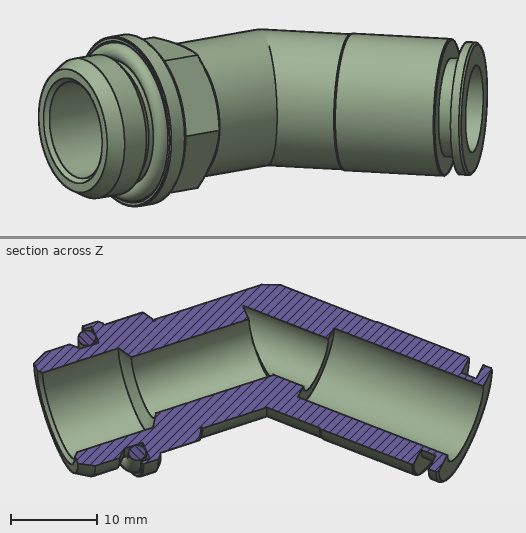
import cadquery as cq
import math

BEND_ANGLE = 45.0
BEND_Y = 26.45

THREAD_RADIUS = 16.5 / 2
NECK_RADIUS = 14.5 / 2
LEAD_IN_LENGTH = 1.8
THREAD_END_Y = 4.8
NECK_START_Y = 5.8

FLANGE_RADIUS = 20.0 / 2
FLANGE_START_Y = 7.0
FLANGE_END_Y = 9.45
FLANGE_TOP_CHAMFER = 0.5
FLANGE_LIP_CHAMFER = 0.15
RING_SECTION_RADIUS = 1.05
RING_RADIUS = NECK_RADIUS + RING_SECTION_RADIUS
RING_SEAT_RADIUS = 9.5
RING_SEAT_DEPTH = RING_SECTION_RADIUS

HEX_ACROSS_FLATS = 16.05
HEX_ACROSS_CORNERS = HEX_ACROSS_FLATS / math.cos(math.radians(30))
HEX_END_Y = 15.05
HEX_CHAMFER_LENGTH = 0.75
HEX_CHAMFER_END_RADIUS = 7.95

ELBOW_RADIUS = 15.8 / 2
RELIEF_RADIUS = 7.7
ELBOW_START_Y = 15.25
SLEEVE_RADIUS = 16.0 / 2
SLEEVE_START = 10.2
SLEEVE_END = 21.95
SLEEVE_CHAMFER = 0.15
STEP_LENGTH = 0.2

CORNER_RADIUS = 8.15
CORNER_HALF_ANGLE = BEND_ANGLE / 2 - math.degrees(math.acos(ELBOW_RADIUS / CORNER_RADIUS))

COLLET_NECK_RADIUS = 11.5 / 2
COLLET_FLANGE_RADIUS = 15.5 / 2
COLLET_FLANGE_START = 23.8
COLLET_END = 25.05
COLLET_CHAMFER = 0.25

MOUTH_RADIUS = 6.2
MOUTH_CHAMFER = 0.5
COUNTERBORE_RADIUS = 11.4 / 2
COUNTERBORE_DEPTH = 9.9
BORE_RADIUS = 8.0 / 2
BORE_CONE_LENGTH = 1.0
BORE_END_Y = BEND_Y - 1.0
LEG_BORE_RADIUS = 7.0 / 2
TUBE_RADIUS = 10.15 / 2
TUBE_STOP = 6.0

TRIM_SIZE = 49.5


def turned(profile):
    """Revolve a (radius, y) outline about the Y axis."""
    return cq.Workplane("XY").polyline(profile).close().revolve(360, (0, 0, 0), (0, 1, 0))


def on_leg(shape):
    """Move a shape from the Y axis to the leg axis, with y = 0 at the bend point."""
    return shape.rotate((0, 0, 0), (0, 0, 1), -BEND_ANGLE).translate((0, BEND_Y, 0))


def cylinder(radius, start, end):
    return turned([(0, start), (radius, start), (radius, end), (0, end)])


def bend_half_space():
    """Block above the mitre plane, which halves the bend angle."""
    block = cq.Workplane("XY").box(TRIM_SIZE, TRIM_SIZE, TRIM_SIZE).translate((0, TRIM_SIZE / 2, 0))
    return block.rotate((0, 0, 0), (0, 0, 1), -BEND_ANGLE / 2).translate((0, BEND_Y, 0))


def threaded_end():
    return turned([
        (0, 0),
        (NECK_RADIUS, 0),
        (THREAD_RADIUS, LEAD_IN_LENGTH),
        (THREAD_RADIUS, THREAD_END_Y),
        (NECK_RADIUS, NECK_START_Y),
        (NECK_RADIUS, FLANGE_START_Y + RING_SEAT_DEPTH),
        (RING_SEAT_RADIUS, FLANGE_START_Y + RING_SEAT_DEPTH),
        (RING_SEAT_RADIUS, FLANGE_START_Y),
        (FLANGE_RADIUS - FLANGE_LIP_CHAMFER, FLANGE_START_Y),
        (FLANGE_RADIUS, FLANGE_START_Y + FLANGE_LIP_CHAMFER),
        (FLANGE_RADIUS, FLANGE_END_Y - FLANGE_TOP_CHAMFER),
        (FLANGE_RADIUS - FLANGE_TOP_CHAMFER, FLANGE_END_Y),
        (0, FLANGE_END_Y),
    ])


def hexagon():
    """Hexagon with flats facing +Z and -Z, and a conical chamfer at its upper end."""
    prism = (
        cq.Workplane("XZ", origin=(0, FLANGE_END_Y, 0))
        .polygon(6, HEX_ACROSS_CORNERS)
        .extrude(FLANGE_END_Y - HEX_END_Y)
    )
    envelope = turned([
        (0, FLANGE_END_Y),
        (HEX_ACROSS_CORNERS / 2, FLANGE_END_Y),
        (HEX_ACROSS_CORNERS / 2, HEX_END_Y - HEX_CHAMFER_LENGTH),
        (HEX_CHAMFER_END_RADIUS, HEX_END_Y),
        (0, HEX_END_Y),
    ])
    return prism.intersect(envelope)


def leg():
    """Elbow leg, conical step, sleeve and release collet in one turned outline."""
    outline = [
        (0, -SLEEVE_START),
        (ELBOW_RADIUS, -SLEEVE_START),
        (ELBOW_RADIUS, SLEEVE_START - STEP_LENGTH),
        (SLEEVE_RADIUS, SLEEVE_START),
        (SLEEVE_RADIUS, SLEEVE_END - SLEEVE_CHAMFER),
        (SLEEVE_RADIUS - SLEEVE_CHAMFER, SLEEVE_END),
        (COLLET_NECK_RADIUS, SLEEVE_END),
        (COLLET_NECK_RADIUS, COLLET_FLANGE_START),
        (COLLET_FLANGE_RADIUS, COLLET_FLANGE_START),
        (COLLET_FLANGE_RADIUS, COLLET_END - COLLET_CHAMFER),
        (COLLET_FLANGE_RADIUS - COLLET_CHAMFER, COLLET_END),
        (0, COLLET_END),
    ]
    return on_leg(turned(outline))


def corner_waste():
    """Material outside the rounded outer corner: a wedge less an ellipsoid."""
    mid_angle = math.radians(180 - BEND_ANGLE / 2)
    half_angle = math.radians(CORNER_HALF_ANGLE)
    reach = 2 * CORNER_RADIUS
    rays = [
        (reach * math.cos(angle), reach * math.sin(angle))
        for angle in (mid_angle - half_angle, mid_angle + half_angle)
    ]
    wedge = cq.Workplane("XY").polyline([(0, 0), *rays]).close().extrude(reach, both=True)
    ellipsoid = (
        cq.Workplane("XZ")
        .moveTo(0, -ELBOW_RADIUS)
        .ellipseArc(CORNER_RADIUS, ELBOW_RADIUS, -90, 90, startAtCurrent=True)
        .close()
        .revolve(360, (0, 0, 0), (0, 1, 0))
    )
    return wedge.cut(ellipsoid).translate((0, BEND_Y, 0))


def elbow():
    straight = cylinder(ELBOW_RADIUS, ELBOW_START_Y, BEND_Y + ELBOW_RADIUS)
    above_mitre = bend_half_space()
    return straight.cut(above_mitre).union(leg().intersect(above_mitre)).cut(corner_waste())


def thread_bore():
    """Chamfered counterbore narrowing through a cone to the main bore."""
    return turned([
        (0, 0),
        (MOUTH_RADIUS, 0),
        (COUNTERBORE_RADIUS, MOUTH_CHAMFER),
        (COUNTERBORE_RADIUS, COUNTERBORE_DEPTH),
        (BORE_RADIUS, COUNTERBORE_DEPTH + BORE_CONE_LENGTH),
        (BORE_RADIUS, BORE_END_Y),
        (0, BORE_END_Y),
    ])


def leg_bore():
    """Flow passage from the end of the main bore, then the wider tube socket."""
    beyond_bore = cq.Workplane("XY").box(TRIM_SIZE, TRIM_SIZE, TRIM_SIZE)
    beyond_bore = beyond_bore.translate((0, BORE_END_Y + TRIM_SIZE / 2, 0))
    passage = on_leg(cylinder(LEG_BORE_RADIUS, -SLEEVE_START, TUBE_STOP)).intersect(beyond_bore)
    return passage.union(on_leg(cylinder(TUBE_RADIUS, TUBE_STOP, COLLET_END)))


def make_fitting():
    relief = cylinder(RELIEF_RADIUS, HEX_END_Y, ELBOW_START_Y)
    outside = threaded_end().union(hexagon()).union(relief).union(elbow())
    return outside.cut(thread_bore()).cut(leg_bore())


def make_sealing_ring():
    return (
        cq.Workplane("XY")
        .center(RING_RADIUS, FLANGE_START_Y)
        .circle(RING_SECTION_RADIUS)
        .revolve(360, (-RING_RADIUS, 0, 0), (-RING_RADIUS, 1, 0))
    )


fitting = make_fitting()
sealing_ring = make_sealing_ring()

result = cq.Compound.makeCompound([fitting.val(), sealing_ring.val()])